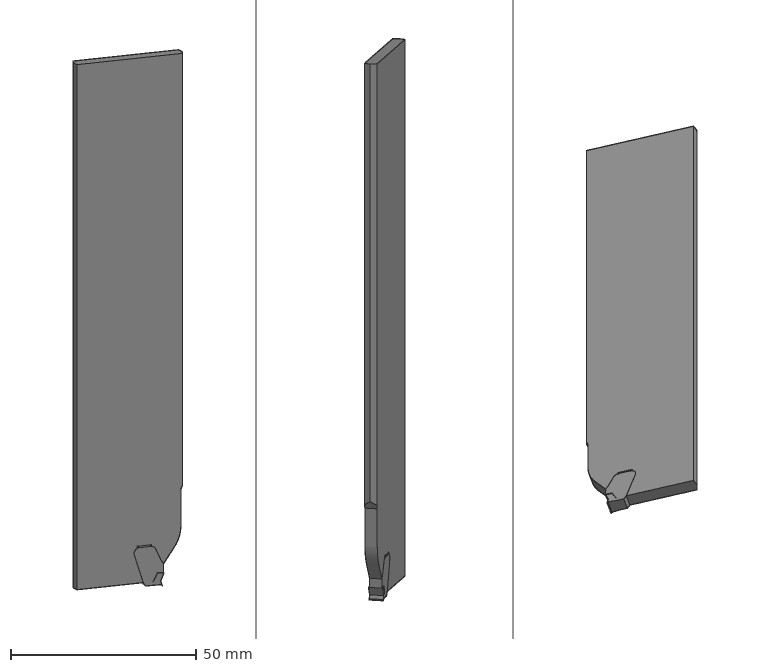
import cadquery as cq

total_height = 150.0
blade_width = 31.0
blade_thickness = 3.5
blade_bottom = 1.4
ridge_depth = 0.5

relief_start = (blade_width, 28.8)
relief_top = (30.2, 26.7)
relief_arc_start = (relief_top[0], 16.0)
relief_arc_middle = (29.4, 12.6)
relief_arc_end = (28.0, 10.2)
relief_end = (25.2, 6.2)

cutting_width = 4.0
insert_top = 11.4
insert_corner_radius = 1.5
seat_gap = 0.5
seat_gap_ends = (17.7, 21.8)
tip = (24.8, 0.0)
tip_relief = (24.5, 0.3)
chip_face_top = (25.2, 3.6)
chip_groove = (24.3, 1.4)
heel = (20.1, 0.3)
insert_back_foot = (19.4, blade_bottom)
insert_back_top = (16.2, insert_top)
insert_front_top = (22.5, insert_top)
insert_front_shoulder = (24.5, 7.2)
head_top_back = (23.4, 3.8)
head_back = 22.2


def extrude_profile(sketch, thickness):
    """Extrude a YZ sketch symmetrically about X = 0."""
    return sketch.extrude(thickness / 2, both=True)


def width_prism(points):
    """Extrude an XY outline over the full height."""
    return cq.Workplane("XY").polyline(points).close().extrude(total_height)


def make_insert_plate():
    plate = extrude_profile(
        cq.Workplane("YZ")
        .moveTo(*tip)
        .lineTo(*tip_relief)
        .lineTo(*heel)
        .lineTo(*insert_back_foot)
        .lineTo(*insert_back_top)
        .lineTo(*insert_front_top)
        .lineTo(*insert_front_shoulder)
        .lineTo(*relief_end)
        .lineTo(*chip_face_top)
        .lineTo(*chip_groove)
        .close(),
        blade_thickness,
    )
    return plate.edges("|X").edges(">Z").fillet(insert_corner_radius)


def make_cutting_head():
    """Wide cutting end whose side flanks taper inward behind the cutting edge."""
    head = extrude_profile(
        cq.Workplane("YZ").polyline(
            [tip, tip_relief, heel, (head_back, blade_bottom), head_top_back, chip_face_top, chip_groove]
        ).close(),
        cutting_width,
    )
    front = chip_face_top[0]
    half_front = cutting_width / 2
    half_back = blade_thickness / 2
    flanks = width_prism([
        (-half_front, front),
        (half_front, front),
        (half_back, head_back),
        (half_back, 0),
        (-half_back, 0),
        (-half_back, head_back),
    ])
    return head.intersect(flanks)


def make_blade(insert_plate):
    body = extrude_profile(
        cq.Workplane("YZ")
        .moveTo(0, blade_bottom)
        .lineTo(0, total_height)
        .lineTo(blade_width, total_height)
        .lineTo(*relief_start)
        .lineTo(*relief_top)
        .lineTo(*relief_arc_start)
        .threePointArc(relief_arc_middle, relief_arc_end)
        .lineTo(*relief_end)
        .lineTo(relief_end[0], blade_bottom)
        .close(),
        blade_thickness,
    )
    half = blade_thickness / 2
    ridged_section = width_prism([
        (0, 0),
        (half, ridge_depth),
        (half, blade_width - ridge_depth),
        (0, blade_width),
        (-half, blade_width - ridge_depth),
        (-half, ridge_depth),
    ])
    pocket = extrude_profile(
        cq.Workplane("YZ").polyline([
            heel, insert_back_foot, insert_front_shoulder, relief_end,
            (blade_width, relief_end[1]), (blade_width, 0),
        ]).close(),
        cutting_width,
    )
    gap_start, gap_end = seat_gap_ends
    seat_relief = extrude_profile(
        cq.Workplane("YZ").polyline([
            (gap_start, insert_top), (gap_end, insert_top),
            (gap_end, insert_top + seat_gap), (gap_start, insert_top + seat_gap),
        ]).close(),
        cutting_width,
    )
    return body.intersect(ridged_section).cut(pocket).cut(insert_plate).cut(seat_relief)


insert_plate = make_insert_plate()
insert = insert_plate.union(make_cutting_head())
blade = make_blade(insert_plate)

result = cq.Compound.makeCompound([*blade.vals(), *insert.vals()])